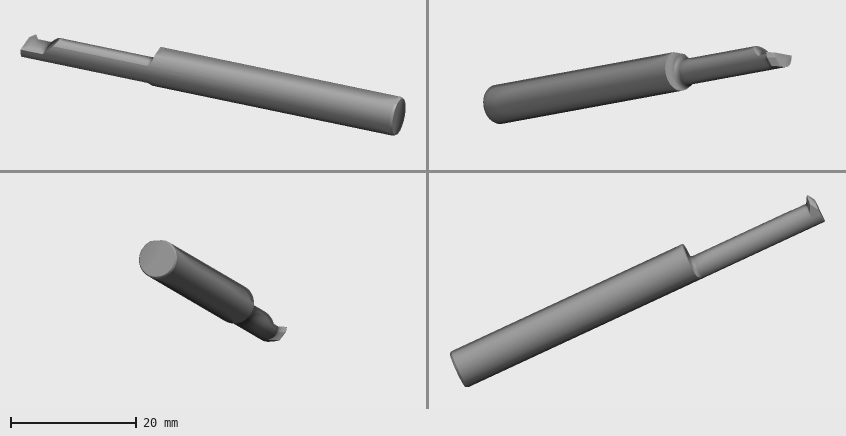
import cadquery as cq
import math

length = 63.5
shank_radius = 3.2
flat_height = 2.9
end_chamfer_length = 0.4
end_chamfer_depth = 0.2

shank_start = 22.2
neck_radius = 2.1
neck_center_y = -1.4
neck_fillet = 0.75

rake_floor_length = 3.8
rake_angle = 45.0

tooth_tip_x = 0.75
tooth_tip_y = 1.9
tooth_tip_flat = 0.1
tooth_half_angle = 30.0
upper_relief_depth = 0.8
upper_relief_setback = 0.2
lower_relief_angle = 40.0


def cut_flat(body):
    """Remove everything above the clamping flat."""
    above_flat = cq.Workplane("XY", origin=(0, 0, flat_height)).rect(2 * length, 4 * shank_radius)
    return body.cut(above_flat.extrude(shank_radius))


def make_shank():
    end_radius = shank_radius - end_chamfer_depth
    shank = (
        cq.Workplane("XY")
        .moveTo(shank_start, 0)
        .lineTo(shank_start, shank_radius)
        .lineTo(length - end_chamfer_length, shank_radius)
        .lineTo(length, end_radius)
        .lineTo(length, 0)
        .close()
        .revolve(360, (0, 0, 0), (1, 0, 0))
    )
    return cut_flat(shank)


def make_neck():
    """Neck flaring into the shank through a concave quarter-round."""
    fillet_start = shank_start - neck_fillet
    flare_radius = neck_radius + neck_fillet
    fillet_mid = (
        fillet_start + neck_fillet * math.sin(math.pi / 4),
        neck_center_y + flare_radius - neck_fillet * math.cos(math.pi / 4),
    )
    neck = (
        cq.Workplane("XY")
        .moveTo(0, neck_center_y)
        .lineTo(0, neck_center_y + neck_radius)
        .lineTo(fillet_start, neck_center_y + neck_radius)
        .threePointArc(fillet_mid, (shank_start, neck_center_y + flare_radius))
        .lineTo(shank_start, neck_center_y)
        .close()
        .revolve(360, (0, neck_center_y, 0), (1, neck_center_y, 0))
    )
    envelope = cq.Workplane("YZ").circle(shank_radius).extrude(shank_start)
    return cut_flat(neck.intersect(envelope))


def cut_rake(neck):
    """Remove the top half of the head, ending in a sloping face."""
    height = shank_radius
    run_out = height / math.tan(math.radians(rake_angle))
    rake = (
        cq.Workplane("XZ")
        .polyline([(0, 0), (rake_floor_length, 0), (rake_floor_length + run_out, height), (0, height)])
        .close()
        .extrude(2 * shank_radius, both=True)
    )
    return neck.cut(rake)


def tooth_layer(top_z, top_setback, bottom_z, bottom_setback):
    """Slice of the tooth whose profile steps back in Y between two heights."""
    flank_slope = 1 / math.tan(math.radians(tooth_half_angle))
    half_flat = tooth_tip_flat / 2
    front_y = tooth_tip_y - (tooth_tip_x - half_flat) * flank_slope
    root_y = neck_center_y + neck_radius
    root_x = tooth_tip_x + half_flat + (tooth_tip_y - root_y) / flank_slope

    def outline(setback):
        return [
            (0, neck_center_y),
            (0, front_y - setback),
            (tooth_tip_x - half_flat, tooth_tip_y - setback),
            (tooth_tip_x + half_flat, tooth_tip_y - setback),
            (root_x, root_y - setback),
            (root_x, neck_center_y),
        ]

    return (
        cq.Workplane("XY", origin=(0, 0, top_z))
        .polyline(outline(top_setback))
        .close()
        .workplane(offset=bottom_z - top_z)
        .polyline(outline(bottom_setback))
        .close()
        .loft(ruled=True)
    )


def make_tooth():
    lower_depth = neck_radius - upper_relief_depth
    lower_setback = upper_relief_setback + lower_depth * math.tan(math.radians(lower_relief_angle))
    upper = tooth_layer(0, 0, -upper_relief_depth, upper_relief_setback)
    lower = tooth_layer(-upper_relief_depth, upper_relief_setback, -neck_radius, lower_setback)
    return upper.union(lower)


tooth_space = cq.Workplane("XY").box(tooth_tip_x, length, length, centered=False)
tooth_space = tooth_space.translate((0, neck_center_y, -length / 2))
neck = cut_rake(make_neck()).cut(tooth_space)
result = make_shank().union(neck).union(make_tooth())